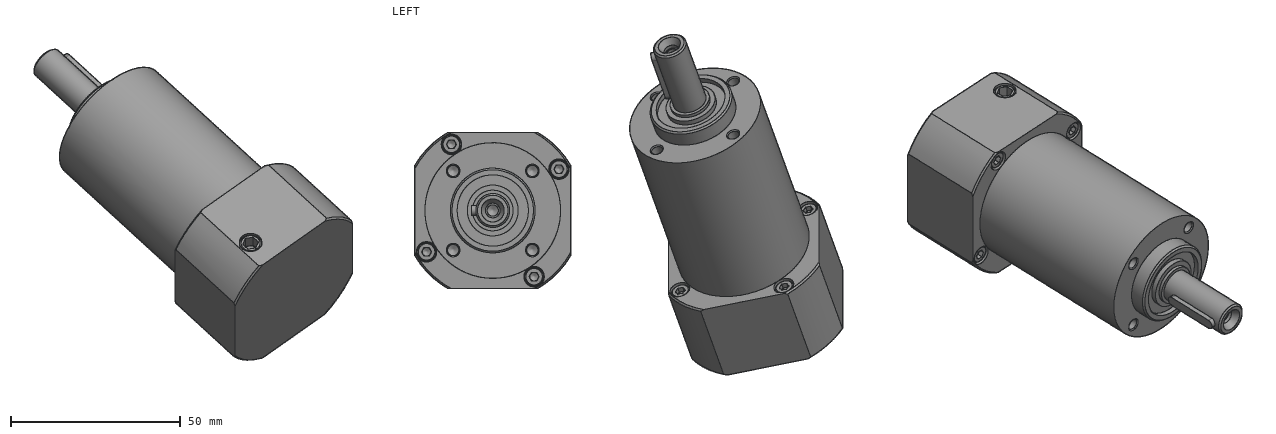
import cadquery as cq
import math

LENGTH = 111.0
FLANGE_LENGTH = 27.0
BODY_LENGTH = 55.1
PILOT_LENGTH = 5.0
COLLAR_LENGTH = 1.0
FLANGE_X = LENGTH - FLANGE_LENGTH
BODY_X = FLANGE_X - BODY_LENGTH
PILOT_X = BODY_X - PILOT_LENGTH
COLLAR_X = PILOT_X - COLLAR_LENGTH

SHAFT_D = 10.0
COLLAR_D = 12.0
PILOT_D = 25.0
BODY_D = 40.0
EDGE_CHAMFER = 0.5

GROOVE_OUTER_D = 21.0
GROOVE_INNER_D = 15.0
GROOVE_DEPTH = 1.5

FLANGE_SIDE = 46.0
FLANGE_CORNER_D = 53.1

KEY_X = 2.0
KEY_LENGTH = 18.0
KEY_WIDTH = 3.0
KEY_TOP = 6.2
KEY_SEAT = 3.0

COUNTERSINK_D = 6.8
COUNTERSINK_DEPTH = 2.1
CENTRE_HOLE_D = 4.3
CENTRE_STEP_DEPTH = 3.2
CENTRE_DRILL_D = 3.3
CENTRE_DRILL_DEPTH = 10.0

MOUNT_HOLE_D = 3.3
MOUNT_COUNTERSINK_D = 4.0
MOUNT_HOLE_DEPTH = 8.0
MOUNT_CIRCLE_D = 33.0
MOUNT_START_ANGLE = 45.0

SCREW_CIRCLE_D = 46.0
SCREW_START_ANGLE = 58.0
SCREW_POCKET_D = 6.0
SCREW_POCKET_DEPTH = 3.0
SCREW_HEAD_D = 5.5
SCREW_HEAD_CHAMFER = 0.3
SCREW_HEAD_RECESS = 0.4
SCREW_SOCKET_WIDTH = 2.5
SCREW_SOCKET_DEPTH = 1.5

CLAMP_X = 102.5
CLAMP_Y = -9.4
CLAMP_D = 6.7
CLAMP_RECESS = 0.3
CLAMP_CHAMFER = 0.5
CLAMP_SOCKET_WIDTH = 4.0
CLAMP_SOCKET_DEPTH = 4.0
CLAMP_SOCKET_TURN = 30.0

DRILL_TIP_ANGLE = 118.0
HEX_SIDES = 6


def cylinder(diameter, start, end, y=0.0, z=0.0):
    """Cylinder parallel to X between two stations."""
    plane = cq.Workplane("YZ", origin=(start, y, z))
    return plane.circle(diameter / 2).extrude(end - start)


def drilled_hole(diameter, depth):
    """Cutter for a blind hole along +X from the origin, with a conical bottom."""
    radius = diameter / 2
    tip = radius / math.tan(math.radians(DRILL_TIP_ANGLE / 2))
    profile = [(0, 0), (0, radius), (depth, radius), (depth + tip, 0)]
    return cq.Workplane("XY").polyline(profile).close().revolve(360, (0, 0, 0), (1, 0, 0))


def cone(start_d, end_d, depth):
    """Cone frustum tapering from start_d at the origin to end_d at the given depth along +X."""
    profile = [(0, 0), (0, start_d / 2), (depth, end_d / 2), (depth, 0)]
    return cq.Workplane("XY").polyline(profile).close().revolve(360, (0, 0, 0), (1, 0, 0))


def hex_socket(width, depth):
    """Cutter for a hexagon socket along +X from the origin, with a conical bottom."""
    across_corners = width / math.cos(math.pi / HEX_SIDES)
    prism = cq.Workplane("YZ").polygon(HEX_SIDES, across_corners).extrude(depth)
    return prism.union(drilled_hole(width, depth))


def polar(circle_d, start_angle, count=4):
    """(y, z) places evenly spaced on a circle about the X axis."""
    angles = [math.radians(start_angle + i * 360 / count) for i in range(count)]
    return [(circle_d / 2 * math.cos(a), circle_d / 2 * math.sin(a)) for a in angles]


def make_flange():
    plane = cq.Workplane("YZ", origin=(FLANGE_X, 0, 0))
    box = plane.rect(FLANGE_SIDE, FLANGE_SIDE).extrude(FLANGE_LENGTH)
    round_stock = cylinder(FLANGE_CORNER_D, FLANGE_X, LENGTH).edges().chamfer(EDGE_CHAMFER)
    return box.intersect(round_stock)


def make_turned_parts():
    shaft = cylinder(SHAFT_D, 0, BODY_X).faces("<X").chamfer(EDGE_CHAMFER)
    pilot = cylinder(PILOT_D, PILOT_X, BODY_X).faces("<X").chamfer(EDGE_CHAMFER)
    groove_end = PILOT_X + GROOVE_DEPTH
    groove = cylinder(GROOVE_OUTER_D, PILOT_X, groove_end)
    groove = groove.cut(cylinder(GROOVE_INNER_D, PILOT_X, groove_end))
    pilot = pilot.cut(groove)
    collar = cylinder(COLLAR_D, COLLAR_X, BODY_X)
    body = cylinder(BODY_D, BODY_X, FLANGE_X)
    return body.union(pilot).union(collar).union(shaft)


def make_key():
    middle = KEY_X + KEY_LENGTH / 2
    plane = cq.Workplane("XZ", origin=(middle, KEY_SEAT, 0))
    return plane.slot2D(KEY_LENGTH, KEY_WIDTH).extrude(KEY_SEAT - KEY_TOP)


def cut_centre_hole(part):
    part = part.cut(cone(COUNTERSINK_D, CENTRE_HOLE_D, COUNTERSINK_DEPTH))
    part = part.cut(cylinder(CENTRE_HOLE_D, 0, CENTRE_STEP_DEPTH))
    return part.cut(drilled_hole(CENTRE_DRILL_D, CENTRE_DRILL_DEPTH))


def cut_mount_holes(part):
    countersink_depth = (MOUNT_COUNTERSINK_D - MOUNT_HOLE_D) / 2
    hole = drilled_hole(MOUNT_HOLE_D, MOUNT_HOLE_DEPTH)
    hole = hole.union(cone(MOUNT_COUNTERSINK_D, MOUNT_HOLE_D, countersink_depth))
    for y, z in polar(MOUNT_CIRCLE_D, MOUNT_START_ANGLE):
        part = part.cut(hole.translate((BODY_X, y, z)))
    return part


def add_flange_screws(part):
    pocket = cylinder(SCREW_POCKET_D, 0, SCREW_POCKET_DEPTH)
    head = cylinder(SCREW_HEAD_D, SCREW_HEAD_RECESS, SCREW_POCKET_DEPTH)
    head = head.faces("<X").chamfer(SCREW_HEAD_CHAMFER)
    socket = hex_socket(SCREW_SOCKET_WIDTH, SCREW_SOCKET_DEPTH).translate((SCREW_HEAD_RECESS, 0, 0))
    for y, z in polar(SCREW_CIRCLE_D, SCREW_START_ANGLE):
        place = (FLANGE_X, y, z)
        part = part.cut(pocket.translate(place)).union(head.translate(place))
        part = part.cut(socket.translate(place))
    return part


def add_clamp_screw(part):
    screw_end = cone(CLAMP_D - 2 * CLAMP_CHAMFER, CLAMP_D, CLAMP_CHAMFER)
    mouth = cylinder(CLAMP_D, 0, CLAMP_RECESS + CLAMP_CHAMFER)
    mouth = mouth.cut(screw_end.translate((CLAMP_RECESS, 0, 0)))
    socket = hex_socket(CLAMP_SOCKET_WIDTH, CLAMP_SOCKET_DEPTH).translate((CLAMP_RECESS, 0, 0))
    socket = socket.rotate((0, 0, 0), (1, 0, 0), CLAMP_SOCKET_TURN)
    cutter = mouth.union(socket).rotate((0, 0, 0), (0, 1, 0), 90)
    return part.cut(cutter.translate((CLAMP_X, CLAMP_Y, FLANGE_SIDE / 2)))


result = make_flange().union(make_turned_parts()).union(make_key())
result = cut_centre_hole(result)
result = cut_mount_holes(result)
result = add_flange_screws(result)
result = add_clamp_screw(result)